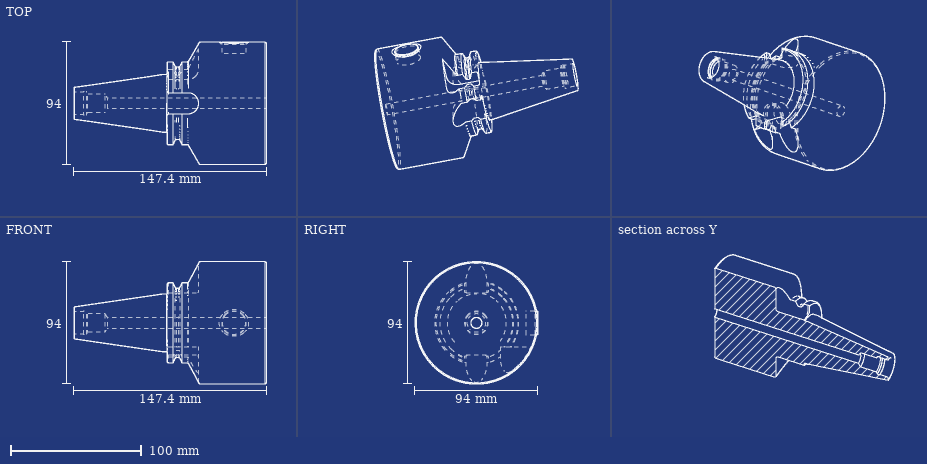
import cadquery as cq
import math


total_length = 147.4
taper_end_x = 68.1
taper_large_radius = 22.2
taper_slope = 7 / 48
taper_small_radius = taper_large_radius - taper_slope * taper_end_x
end_fillet = 0.7
neck_fillet = 0.6

flange_front_x = 71.2
flange_radius = 31.8
flange_front_fillet = 1.0
groove_start_x = 75.6
groove_end_x = 82.7
groove_radius = 27.8
groove_fillet = 1.0
groove_flank_run = 2.0

head_radius = 47.0
head_cone_start_x = 87.2
head_cone_tilt = 30.0
head_cone_end_x = head_cone_start_x + (head_radius - flange_radius) * math.tan(math.radians(head_cone_tilt))
head_fillet = 1.0
back_chamfer_length = 1.2
back_chamfer_depth = 1.0

bore_radius = 8.5
bore_entry_fillet = 0.7
bore_end_x = 7.2
relief_radius = 9.0
relief_end_x = 9.3
thread_radius = 7.0
thread_chamfer_length = 0.9
thread_end_x = 23.6
drill_tip_angle = 118.0
through_radius = 4.1

slot_half_width = 8.1
slot_end_x = 95.2
slot_center_x = slot_end_x - slot_half_width
slot_floor_fillet = 1.6
upper_slot_floor = 22.7
lower_slot_floor = 24.8
flare_depth = 1.0
notch_wall = 18.3

plug_radius = 9.3
plug_x = 122.3
plug_outer_y = head_radius
plug_length = 8.8
plug_edge_chamfer = 0.5
plug_countersink = 2.0


def revolved(outline):
    """Solid of revolution about X from (x, radius, fillet) corners, with its seam at +Z."""
    points = [cq.Vector(x, 0, radius) for x, radius, _ in outline]
    face = cq.Face.makeFromWires(cq.Wire.makePolygon(points, close=True))
    for point, (_, _, fillet) in zip(points, outline):
        if fillet:
            corner = min(face.Vertices(), key=lambda v: (v.Center() - point).Length)
            face = face.fillet2D(fillet, [corner])
    return cq.Workplane(cq.Solid.revolve(face, 360, cq.Vector(0, 0, 0), cq.Vector(1, 0, 0)))


def holder_blank():
    """Turned body with its stepped axial bore."""
    tip_length = (thread_radius - through_radius) / math.tan(math.radians(drill_tip_angle / 2))
    return revolved([
        (0, bore_radius, bore_entry_fillet),
        (0, taper_small_radius, end_fillet),
        (taper_end_x, taper_large_radius, 0),
        (flange_front_x, taper_large_radius, neck_fillet),
        (flange_front_x, flange_radius, flange_front_fillet),
        (groove_start_x, flange_radius, 0),
        (groove_start_x + groove_flank_run, groove_radius, groove_fillet),
        (groove_end_x - groove_flank_run, groove_radius, groove_fillet),
        (groove_end_x, flange_radius, 0),
        (head_cone_start_x, flange_radius, head_fillet),
        (head_cone_end_x, head_radius, head_fillet),
        (total_length - back_chamfer_length, head_radius, 0),
        (total_length, head_radius - back_chamfer_depth, 0),
        (total_length, through_radius, 0),
        (thread_end_x + tip_length, through_radius, 0),
        (thread_end_x, thread_radius, 0),
        (relief_end_x + thread_chamfer_length, thread_radius, 0),
        (relief_end_x, bore_radius, 0),
        (relief_end_x, relief_radius, 0),
        (bore_end_x, relief_radius, 0),
        (bore_end_x, bore_radius, 0),
    ])


def slot_section(half_width, height):
    return cq.Sketch().rect(2 * half_width, height).vertices("<Y").fillet(slot_floor_fillet)


def slot_cutter(floor):
    """Round-ended slot in the +Z side with a filleted floor and flared walls at the flange face."""
    height = head_radius - floor
    slot_start_x = flange_front_x - 2 * slot_half_width
    slot = (
        cq.Workplane("XY", origin=((slot_start_x + slot_end_x) / 2, 0, floor))
        .slot2D(slot_end_x - slot_start_x, 2 * slot_half_width)
        .extrude(height)
        .faces("<Z").edges().fillet(slot_floor_fillet)
    )
    wide = slot_section(slot_half_width + flare_depth, height)
    narrow = slot_section(slot_half_width, height)
    flare = (
        cq.Workplane("YZ", origin=(flange_front_x, 0, floor + height / 2))
        .placeSketch(wide, narrow.moved(cq.Location(cq.Vector(0, 0, flare_depth))))
        .loft(ruled=True)
    )
    return slot.union(flare)


def notch_cutter():
    """Corner cut from the flange face to the head, rounded where its side wall meets its floor."""
    return (
        cq.Workplane("XY", origin=(0, 0, -notch_wall))
        .moveTo(flange_front_x, notch_wall)
        .lineTo(slot_center_x, notch_wall)
        .radiusArc((slot_end_x, notch_wall + slot_half_width), -slot_half_width)
        .lineTo(slot_end_x, head_radius)
        .lineTo(flange_front_x, head_radius)
        .close()
        .extrude(-head_radius)
    )


def plug_countersink_cutter():
    return cq.Workplane(cq.Solid.makeCone(
        plug_radius + plug_countersink, plug_radius, plug_countersink,
        pnt=cq.Vector(plug_x, plug_outer_y, 0), dir=cq.Vector(0, -1, 0),
    ))


def make_plug():
    """Flat-ended round plug set radially in the +Y side of the head."""
    return (
        cq.Workplane("XZ", origin=(plug_x, plug_outer_y, 0))
        .circle(plug_radius)
        .extrude(plug_length)
        .faces(">Y").edges().chamfer(plug_edge_chamfer)
    )


plug = make_plug()
holder = (
    holder_blank()
    .cut(slot_cutter(upper_slot_floor))
    .cut(slot_cutter(lower_slot_floor).rotate((0, 0, 0), (1, 0, 0), 180))
    .cut(notch_cutter())
    .cut(plug)
    .cut(plug_countersink_cutter())
)

result = cq.Compound.makeCompound([holder.val(), plug.val()])